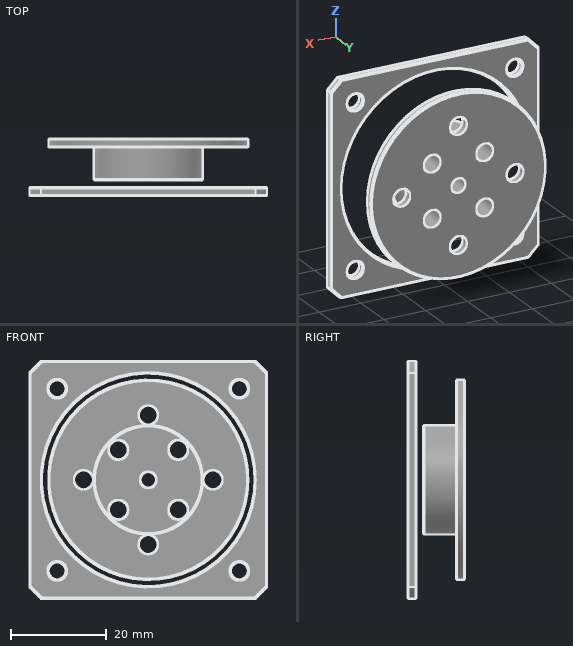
import cadquery as cq

frame_side = 49.8
overall_depth = 12.05
edge_chamfer = 0.25

frame_thickness = 1.9
frame_corner_cut = 2.5
frame_bore_diameter = 44.5
frame_hole_diameter = 3.6
frame_hole_offset = 19.05

flange_diameter = 41.9
flange_thickness = 1.9
hub_diameter = 22.9
hub_length = 6.85
center_hole_diameter = 3.3
hub_hole_diameter = 4.0
hub_hole_chamfer = 0.1
hub_hole_offset = 6.25
flange_hole_diameter = 4.0
flange_hole_radius = 13.55

frame_front = -overall_depth / 2
flange_back = overall_depth / 2
flange_front = flange_back - flange_thickness
hub_front = flange_front - hub_length


def plane_at(y):
    """Plane across the Y axis whose local axes are +X and +Z and whose normal is -Y."""
    return cq.Workplane("XZ", origin=(0, y, 0))


def square_pattern(offset):
    """Four points at the corners of a centred square."""
    return [(x, z) for x in (-offset, offset) for z in (-offset, offset)]


def cross_pattern(radius):
    """Four points on the axes, at one distance from the centre."""
    return [(radius, 0), (0, radius), (-radius, 0), (0, -radius)]


def drills(points, diameter):
    """Cylinders that cut right through the whole assembly depth."""
    return plane_at(flange_back).pushPoints(points).circle(diameter / 2).extrude(overall_depth)


def countersunk_drills(points, diameter):
    """Through drills that also break the edge of each hole on the hub face."""
    sink = (
        plane_at(hub_front)
        .pushPoints(points)
        .circle(diameter / 2 + hub_hole_chamfer)
        .extrude(-hub_hole_chamfer, taper=45)
    )
    return drills(points, diameter).union(sink)


def make_frame():
    """Square frame with cut corners, a large bore and four corner holes, all edges broken."""
    blank = plane_at(frame_front).rect(frame_side, frame_side).extrude(-frame_thickness)
    blank = blank.edges("|Y").chamfer(frame_corner_cut)
    blank = blank.cut(drills([(0, 0)], frame_bore_diameter))
    blank = blank.cut(drills(square_pattern(frame_hole_offset), frame_hole_diameter))
    return blank.faces("<Y or >Y").edges().chamfer(edge_chamfer)


def make_hub_flange():
    """Round flange with a hub on its front, drilled through."""
    flange = plane_at(flange_back).circle(flange_diameter / 2).extrude(flange_thickness)
    flange = flange.faces("<Y or >Y").edges().chamfer(edge_chamfer)
    hub = plane_at(flange_front).circle(hub_diameter / 2).extrude(hub_length)
    hub = hub.faces("<Y").edges().chamfer(edge_chamfer)
    body = flange.union(hub)
    body = body.cut(countersunk_drills([(0, 0)], center_hole_diameter))
    body = body.cut(countersunk_drills(square_pattern(hub_hole_offset), hub_hole_diameter))
    return body.cut(drills(cross_pattern(flange_hole_radius), flange_hole_diameter))


frame = make_frame()
hub_flange = make_hub_flange()

result = cq.Compound.makeCompound([frame.val(), hub_flange.val()])